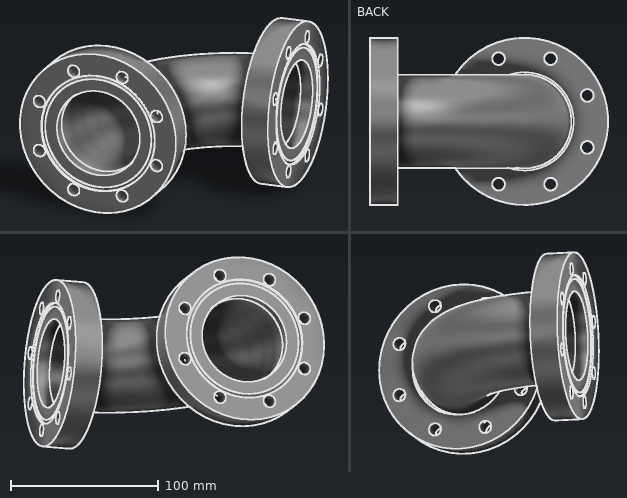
import cadquery as cq
import math

FACE_TO_CENTER = 104.902

TUBE_OD = 63.5
TUBE_ID = 60.33
BEND_RADIUS = 1.5 * TUBE_OD

RING_OD = 113.54
RING_THICKNESS = 19.05
RING_BORE = 66.67
INSERT_POCKET_DIAMETER = 82.55
BOLT_CIRCLE = 92.15
BOLT_HOLE_DIAMETER = 8.43
BOLT_COUNT = 8
BOLT_START_ANGLE = 180 / BOLT_COUNT

INSERT_OD = 82.3
INSERT_BACK_DEPTH = 12.7
SOCKET_DIAMETER = 63.75
KNIFE_DIAMETER = 77.2
KNIFE_DEPTH = 0.43
RECESS_DEPTH = 0.48
KNIFE_SLOPE_ANGLE = 20

TUBE_END_DEPTH = FACE_TO_CENTER - BEND_RADIUS

INLET_PORT = cq.Plane(origin=(0, -FACE_TO_CENTER, 0), xDir=(1, 0, 0), normal=(0, 1, 0))
OUTLET_PORT = cq.Plane(origin=(FACE_TO_CENTER, 0, 0), xDir=(0, 1, 0), normal=(-1, 0, 0))


def make_elbow_tube():
    """Quarter bend swept about a vertical axis at (BEND_RADIUS, -BEND_RADIUS)."""
    return (
        cq.Workplane("XZ", origin=(0, -BEND_RADIUS, 0))
        .circle(TUBE_OD / 2)
        .circle(TUBE_ID / 2)
        .revolve(90, (BEND_RADIUS, 1, 0), (BEND_RADIUS, 0, 0))
    )


def make_bolt_ring():
    """Ring with its front face at Z = 0, pocketed from the front for the insert."""
    ring = cq.Workplane("XY").circle(RING_OD / 2).circle(RING_BORE / 2).extrude(RING_THICKNESS)
    pocket = cq.Workplane("XY").circle(INSERT_POCKET_DIAMETER / 2).extrude(INSERT_BACK_DEPTH)
    bolt_holes = (
        cq.Workplane("XY")
        .polarArray(BOLT_CIRCLE / 2, BOLT_START_ANGLE, 360, BOLT_COUNT)
        .circle(BOLT_HOLE_DIAMETER / 2)
        .extrude(RING_THICKNESS)
    )
    return ring.cut(pocket).cut(bolt_holes).solids()


def make_weld_insert():
    """Insert with a recessed face inside its knife edge and a tube socket at its back."""
    slope_width = (INSERT_OD - KNIFE_DIAMETER) / 2
    slope_height = slope_width * math.tan(math.radians(KNIFE_SLOPE_ANGLE))
    blank = (
        cq.Workplane("XY")
        .workplane(offset=KNIFE_DEPTH)
        .circle(INSERT_OD / 2)
        .extrude(INSERT_BACK_DEPTH - KNIFE_DEPTH)
        .faces("<Z")
        .chamfer(slope_height, slope_width)
    )
    recess = cq.Workplane("XY").circle(KNIFE_DIAMETER / 2).extrude(KNIFE_DEPTH + RECESS_DEPTH)
    bore = cq.Workplane("XY").circle(TUBE_ID / 2).extrude(INSERT_BACK_DEPTH)
    socket = (
        cq.Workplane("XY")
        .workplane(offset=TUBE_END_DEPTH)
        .circle(SOCKET_DIAMETER / 2)
        .extrude(INSERT_BACK_DEPTH - TUBE_END_DEPTH)
    )
    return blank.cut(recess).cut(bore).cut(socket).solids()


elbow_tube = make_elbow_tube()
bolt_ring = make_bolt_ring()
weld_insert = make_weld_insert()

bodies = [elbow_tube.val()]
for port in (INLET_PORT, OUTLET_PORT):
    port_location = cq.Location(port)
    bodies.append(bolt_ring.val().moved(port_location))
    bodies.append(weld_insert.val().moved(port_location))

result = cq.Compound.makeCompound(bodies)